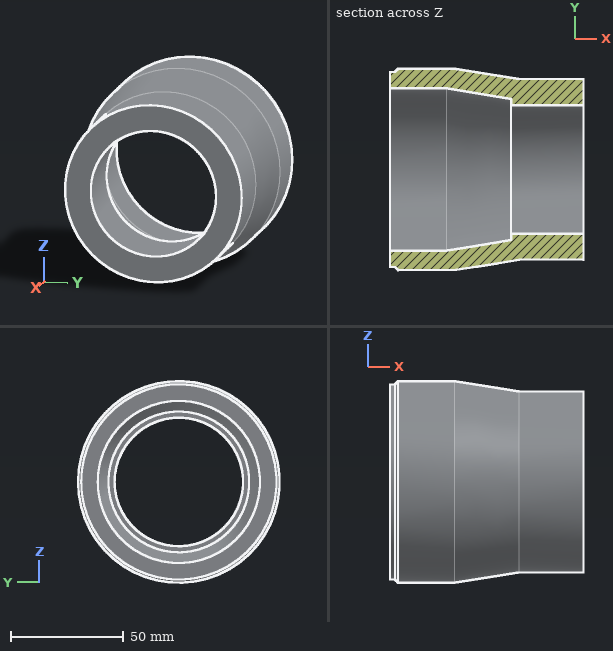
import cadquery as cq

total_length = 86.5
wide_radius = 45.0
narrow_radius = 40.4

nose_radius = 43.6
nose_length = 2.25
chamfer_size = wide_radius - nose_radius

taper_start = 28.9
taper_length = 28.8
taper_end = taper_start + taper_length

wide_bore_radius = 36.2
shoulder_radius = 31.4
through_bore_radius = 28.6
bore_taper_start = 25.3
shoulder_depth = bore_taper_start + taper_length


def turned(profile):
    """Revolve a list of (x, radius) points, closed along the axis, about X."""
    outline = [(profile[0][0], 0)] + profile + [(profile[-1][0], 0)]
    return cq.Workplane("XY").polyline(outline).close().revolve(360, (0, 0, 0), (1, 0, 0))


body = turned([
    (0, nose_radius),
    (nose_length, nose_radius),
    (nose_length + chamfer_size, wide_radius),
    (taper_start, wide_radius),
    (taper_end, narrow_radius),
    (total_length, narrow_radius),
])

bore = turned([
    (0, wide_bore_radius),
    (bore_taper_start, wide_bore_radius),
    (shoulder_depth, shoulder_radius),
    (shoulder_depth, through_bore_radius),
    (total_length, through_bore_radius),
])

result = body.cut(bore)